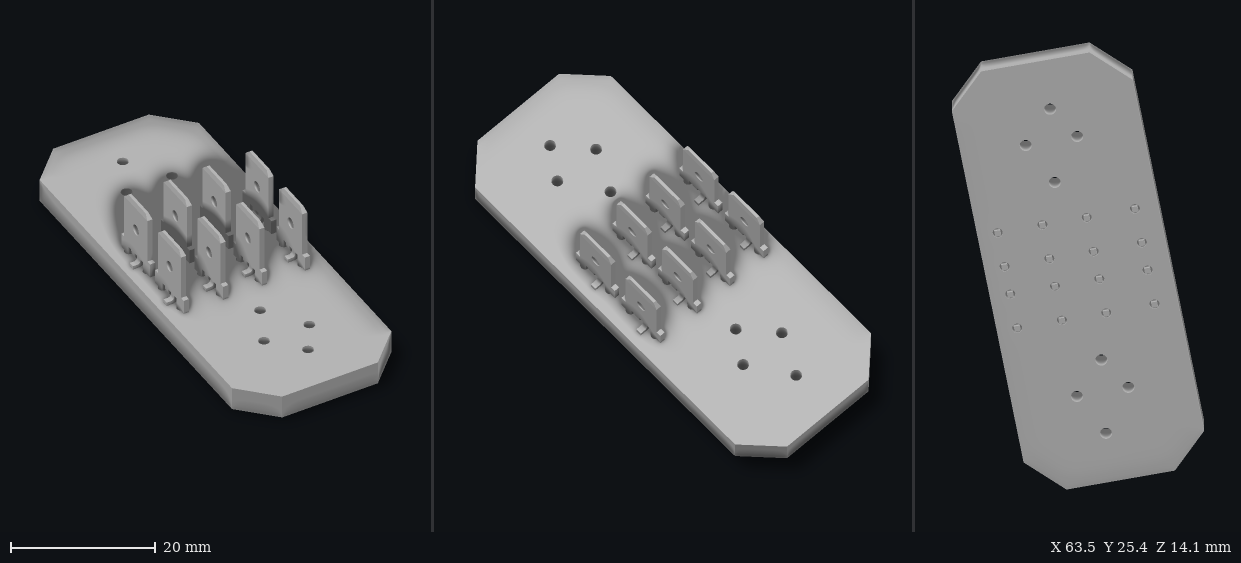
import cadquery as cq

board_length = 63.5
board_width = 25.4
board_thickness = 3.7
corner_cut = 5.1

mount_hole_diameter = 1.65
cluster_centers_x = (-18.35, 19.75)
mount_pair_half_pitch = 3.6
inner_hole_offset = (4.7, 0.7)
outer_hole_offset = (-6.15, -0.7)
cluster_hole_offsets = (
    (0, mount_pair_half_pitch),
    (0, -mount_pair_half_pitch),
    inner_hole_offset,
    outer_hole_offset,
)

overall_height = 14.05
pin_protrusion = 0.2
terminal_height = overall_height - board_thickness - pin_protrusion
terminal_thickness = 0.8
base_width = 7.95
base_height = 2.3
blade_width = 6.4
blade_hole_diameter = 1.65
blade_hole_height = 5.65

tip_taper_height = 0.75
tip_side_inset = 0.8
tip_face_inset = 0.2

gap_width = 3.95
gap_height = 1.35

finger_width = 0.9
finger_offset = 0.8
finger_reach = 1.6
finger_thickness = 0.6
finger_outer_radius = 1.1
finger_inner_radius = 0.5

pin_pitch = 5.15
pin_width = 0.8
pin_length = board_thickness + pin_protrusion
pin_hole_diameter = 1.4

column_centers_x = (-4.25, 5.1)
rows = (
    (9.45, 0.0),
    (2.65, -0.05),
    (-3.55, 0.0),
    (-9.85, 0.0),
)
terminal_places = [(x + shift, y) for y, shift in rows for x in column_centers_x]
pin_offsets_x = (-pin_pitch / 2, pin_pitch / 2)


def make_board():
    """Plate with cut corners, mounting holes and a clearance hole for every pin."""
    plate = (
        cq.Workplane("XY")
        .box(board_length, board_width, board_thickness, centered=(True, True, False))
        .edges("|Z")
        .chamfer(corner_cut)
    )
    mount_holes = [(cx + dx, dy) for cx in cluster_centers_x for dx, dy in cluster_hole_offsets]
    pin_holes = [(x + dx, y) for x, y in terminal_places for dx in pin_offsets_x]
    top = plate.faces(">Z").workplane(origin=(0, 0, 0))
    plate = top.pushPoints(mount_holes).hole(mount_hole_diameter)
    top = plate.faces(">Z").workplane(origin=(0, 0, 0))
    return top.pushPoints(pin_holes).hole(pin_hole_diameter)


def make_blade():
    """Base and blade with a tapered tip, cross hole and gap between the feet; its foot is at Z = 0."""
    straight_height = terminal_height - tip_taper_height
    base = cq.Workplane("XY").box(base_width, terminal_thickness, base_height, centered=(True, True, False))
    blade = cq.Workplane("XY").box(blade_width, terminal_thickness, straight_height, centered=(True, True, False))
    tip = (
        cq.Workplane("XY", origin=(0, 0, straight_height))
        .rect(blade_width, terminal_thickness)
        .workplane(offset=tip_taper_height)
        .rect(blade_width - 2 * tip_side_inset, terminal_thickness - 2 * tip_face_inset)
        .loft()
    )
    gap = cq.Workplane("XY").box(gap_width, terminal_thickness, gap_height, centered=(True, True, False))
    cross_hole = (
        cq.Workplane("XZ", origin=(0, 0, blade_hole_height))
        .circle(blade_hole_diameter / 2)
        .extrude(terminal_thickness, both=True)
    )
    return base.union(blade).union(tip).cut(gap).cut(cross_hole)


def make_finger():
    """Finger hanging from the top of the gap and bent outward toward -Y to lie on the board."""
    half_thickness = terminal_thickness / 2
    inner_arc_top = finger_thickness + finger_inner_radius
    return (
        cq.Workplane("YZ", origin=(finger_offset, 0, 0))
        .moveTo(half_thickness, gap_height)
        .lineTo(half_thickness, finger_outer_radius)
        .radiusArc((half_thickness - finger_outer_radius, 0), finger_outer_radius)
        .lineTo(-finger_reach, 0)
        .lineTo(-finger_reach, finger_thickness)
        .lineTo(-half_thickness - finger_inner_radius, finger_thickness)
        .radiusArc((-half_thickness, inner_arc_top), -finger_inner_radius)
        .lineTo(-half_thickness, gap_height)
        .close()
        .extrude(finger_width / 2, both=True)
    )


def make_terminal():
    """Blade with two opposed fingers and two solder pins."""
    terminal = make_blade()
    for angle in (0, 180):
        terminal = terminal.union(make_finger().rotate((0, 0, 0), (0, 0, 1), angle))
    pins = (
        cq.Workplane("XY")
        .pushPoints([(dx, 0) for dx in pin_offsets_x])
        .rect(pin_width, terminal_thickness)
        .extrude(-pin_length)
    )
    return terminal.union(pins)


board = make_board()
terminal = make_terminal()
terminals = [terminal.translate((x, y, board_thickness)).solids().val() for x, y in terminal_places]

result = cq.Compound.makeCompound([board.solids().val(), *terminals])